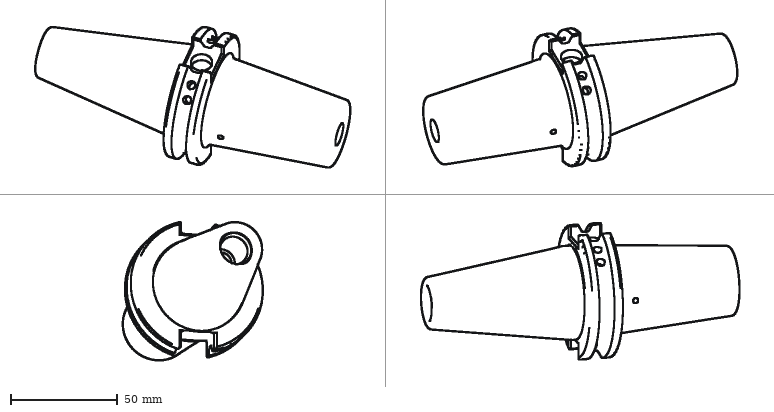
import cadquery as cq
import math


gauge_radius = 44.45 / 2
taper_length = 68.25
taper_slope = 7 / 48
taper_end_fillet = 2.0
taper_end_radius = gauge_radius - taper_length * taper_slope

flange_radius = 63.55 / 2
flange_front = 3.1
flange_back = 19.1
flange_edge_fillet = 1.1
flange_root_fillet = 0.4

groove_center = 11.1
groove_bottom_radius = 56.25 / 2
groove_bottom_width = 3.1
groove_wall_angle = 30
groove_bottom_fillet = 1.0
groove_depth = flange_radius - groove_bottom_radius
groove_top_width = groove_bottom_width + 2 * groove_depth * math.tan(math.radians(groove_wall_angle))

nose_end = 80.0
nose_end_radius = 33.0 / 2
nose_end_fillet = 1.5
nose_root_radius = 42.0 / 2
nose_collar_radius = nose_root_radius
nose_collar_length = 0.5
nose_cone_start = 22.8
nose_round_radius = 3.5

slot_width = 16.1
slot_floor_top = 25.0
slot_floor_bottom = 22.4
slot_corner_fillet = 0.9
slot_chamfer = 1.0
rim_chamfer_width = 0.77
rim_chamfer_depth = 0.8

counterbore_radius = 8.2
counterbore_depth = 4.5
counterbore_entry_fillet = 1.0
thread_chamfer_radius = 7.9
thread_radius = 6.8
thread_chamfer_length = 2.5
thread_depth = 30.0
thread_drill_angle = 59
bore_radius = 5.5

pocket_diameter = 10.0
pocket_depth = 4.5
pocket_x = groove_center

groove_hole_diameter = 3.8
groove_hole_depth = 5.0
groove_hole_angles = (30, 45)

cross_hole_diameter = 2.5
cross_hole_x = 28.0


def revolve_about_x(profile):
    return profile.close().revolve(360, (0, 0, 0), (1, 0, 0))


def make_body():
    collar_start = nose_cone_start - nose_collar_length
    round_length = collar_start - flange_back
    round_rise = nose_round_radius - math.sqrt(nose_round_radius**2 - round_length**2)
    round_start_radius = nose_collar_radius + round_rise
    profile = (
        cq.Workplane("XZ")
        .moveTo(-taper_length, 0)
        .lineTo(-taper_length, taper_end_radius)
        .lineTo(0, gauge_radius)
        .lineTo(flange_front - flange_root_fillet, gauge_radius)
        .radiusArc((flange_front, gauge_radius + flange_root_fillet), -flange_root_fillet)
        .lineTo(flange_front, flange_radius)
        .lineTo(flange_back, flange_radius)
        .lineTo(flange_back, round_start_radius)
        .radiusArc((collar_start, nose_collar_radius), -nose_round_radius)
        .lineTo(nose_cone_start, nose_collar_radius)
        .lineTo(nose_end, nose_end_radius)
        .lineTo(nose_end, 0)
    )
    body = revolve_about_x(profile)
    body = body.faces("<X").edges().fillet(taper_end_fillet)
    body = body.faces(">X").edges().fillet(nose_end_fillet)
    rims = cq.selectors.RadiusNthSelector(-1)
    return body.edges(rims).fillet(flange_edge_fillet)


def make_groove():
    half_bottom = groove_bottom_width / 2
    half_top = groove_top_width / 2
    profile = (
        cq.Workplane("XZ")
        .moveTo(groove_center - half_top, flange_radius)
        .lineTo(groove_center - half_bottom, groove_bottom_radius)
        .lineTo(groove_center + half_bottom, groove_bottom_radius)
        .lineTo(groove_center + half_top, flange_radius)
    )
    groove = revolve_about_x(profile)
    bottom_edges = cq.selectors.RadiusNthSelector(0)
    return groove.edges(bottom_edges).fillet(groove_bottom_fillet)


def make_slot_mouth(floor, floor_chamfer, face_x, inward):
    """Flare of a slot at one flange face, narrowing to the slot's own section inside the flange."""
    height = flange_radius - floor
    mouth_width = slot_width + 2 * slot_chamfer
    mouth_height = height + floor_chamfer
    return (
        cq.Workplane("YZ", origin=(face_x, 0, flange_radius))
        .center(0, -mouth_height / 2)
        .rect(mouth_width, mouth_height)
        .workplane(offset=inward * slot_chamfer)
        .center(0, floor_chamfer / 2)
        .rect(slot_width, height)
        .loft(ruled=True)
    )


def make_slot_rim_flare():
    """Chamfers where the slot's walls run out through the flange's rim."""
    half_slot = slot_width / 2
    half_flare = half_slot + rim_chamfer_width
    flare_bottom = math.sqrt(flange_radius**2 - half_slot**2) - rim_chamfer_depth
    flare_top = math.sqrt(flange_radius**2 - half_flare**2)
    return (
        cq.Workplane("YZ", origin=(flange_front, 0, 0))
        .moveTo(-half_slot, flare_bottom)
        .lineTo(half_slot, flare_bottom)
        .lineTo(half_flare, flare_top)
        .lineTo(half_flare, flange_radius)
        .lineTo(-half_flare, flange_radius)
        .lineTo(-half_flare, flare_top)
        .close()
        .extrude(flange_back - flange_front)
    )


def make_slot(floor, floor_chamfer):
    """Drive slot on the +Z side, cut along X through the whole flange."""
    slot = (
        cq.Workplane("XY", origin=(flange_front, 0, floor))
        .box(flange_back - flange_front, slot_width, flange_radius - floor, centered=(False, True, False))
        .edges("|X and <Z")
        .fillet(slot_corner_fillet)
    )
    slot = slot.union(make_slot_mouth(floor, floor_chamfer, flange_front, 1))
    slot = slot.union(make_slot_mouth(floor, floor_chamfer, flange_back, -1))
    return slot.union(make_slot_rim_flare())


def make_bore():
    face = -taper_length
    counterbore_end = face + counterbore_depth
    drill_tip_length = (thread_radius - bore_radius) / math.tan(math.radians(thread_drill_angle))
    entry_radius = counterbore_radius + counterbore_entry_fillet
    profile = (
        cq.Workplane("XZ")
        .moveTo(face, 0)
        .lineTo(face, entry_radius)
        .radiusArc((face + counterbore_entry_fillet, counterbore_radius), -counterbore_entry_fillet)
        .lineTo(counterbore_end, counterbore_radius)
        .lineTo(counterbore_end, thread_chamfer_radius)
        .lineTo(counterbore_end + thread_chamfer_length, thread_radius)
        .lineTo(face + thread_depth, thread_radius)
        .lineTo(face + thread_depth + drill_tip_length, bore_radius)
        .lineTo(nose_end, bore_radius)
        .lineTo(nose_end, 0)
    )
    return revolve_about_x(profile)


def make_pocket():
    return (
        cq.Workplane("XY", origin=(pocket_x, 0, slot_floor_top - pocket_depth))
        .circle(pocket_diameter / 2)
        .extrude(flange_radius - slot_floor_top + pocket_depth)
    )


def make_groove_hole(angle):
    return (
        cq.Workplane("XY", origin=(groove_center, 0, groove_bottom_radius - groove_hole_depth))
        .circle(groove_hole_diameter / 2)
        .extrude(groove_depth + groove_hole_depth)
        .rotate((0, 0, 0), (1, 0, 0), angle)
    )


def make_cross_hole():
    return (
        cq.Workplane("XZ", origin=(cross_hole_x, 0, 0))
        .circle(cross_hole_diameter / 2)
        .extrude(nose_root_radius, both=True)
    )


result = make_body().cut(make_groove())
result = result.cut(make_slot(slot_floor_top, slot_chamfer))
result = result.cut(make_slot(slot_floor_bottom, 0).mirror("XY"))
result = result.cut(make_pocket())
for hole_angle in groove_hole_angles:
    result = result.cut(make_groove_hole(hole_angle))
    result = result.cut(make_groove_hole(-hole_angle))
result = result.cut(make_bore())
result = result.cut(make_cross_hole())